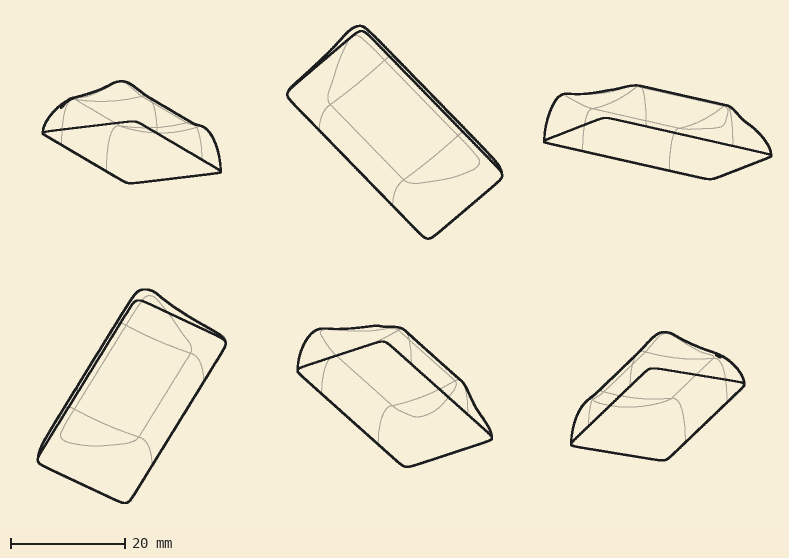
import cadquery as cq
import math

LENGTH = 37.38
WIDTH = 18.4
MIDDLE_LENGTH = 19.05

CAP_X = MIDDLE_LENGTH / 2
CAP_LENGTH = (LENGTH - MIDDLE_LENGTH) / 2
HALF_WIDTH = WIDTH / 2
CORNER_EXPONENT = 15

FRONT_RIM = (0, -6.55, 7.95)
BACK_RIM = (0, 6.26, 7.05)
RIM_POINTS = [
    FRONT_RIM,
    (1.35, -5.9, 7.8),
    (2.9, -3.6, 7.3),
    (4.4, -1.2, 7.15),
    (5.6, 1.0, 7.3),
    (6.5, 3.1, 7.7),
    (6.85, 4.5, 8.0),
    (6.55, 5.4, 8.06),
    (5.0, 5.95, 7.85),
    (2.6, 6.2, 7.35),
    BACK_RIM,
]
DISH_LOW_Z = 6.87
DISH_GUIDES = (0.2, 0.4, 0.6, 0.8)
DISH_SAG = 0.25

SIDE_RISE = 0.72
SIDE_LEAN = 0.1
SHOULDER_REACH = 1.65
SHOULDER_RISE = 0.5
STEEP_SPAN = HALF_WIDTH + FRONT_RIM[1]
SPREAD_POWER = 0.5

ANGLE_STEPS = 72
WALL_LEVELS = 10
BISECTIONS = 30
SEWING_TOLERANCE = 1e-3
OUTWARD = cq.Vector(1, 0, 0)
UP = cq.Vector(0, 0, 1)


def square_ended_spline(points):
    """Curve through the points that meets the middle stretch squarely at both ends."""
    return cq.Edge.makeSpline(points, tangents=[OUTWARD, -OUTWARD], scale=False)


def base_radius(angle):
    """Distance from the pivot axis to the base outline."""
    along = abs(math.cos(angle)) / CAP_LENGTH
    across = abs(math.sin(angle)) / HALF_WIDTH
    return (along**CORNER_EXPONENT + across**CORNER_EXPONENT) ** (-1 / CORNER_EXPONENT)


def rim_point(rim, angle):
    """Point of the rim curve that lies at an angle about the pivot axis, found by bisection."""
    low, high = 0.0, 1.0
    for _ in range(BISECTIONS):
        middle = (low + high) / 2
        point = rim.positionAt(middle)
        if math.atan2(point.y, point.x) < angle:
            low = middle
        else:
            high = middle
    return rim.positionAt((low + high) / 2)


def wall_point(rim, angle, level):
    """Point of the wall at an angle; level runs from 0 at the base to 1 at the rim."""
    out = cq.Vector(math.cos(angle), math.sin(angle), 0)
    top = rim_point(rim, angle)
    bottom = out * base_radius(angle)
    span = (bottom - cq.Vector(top.x, top.y, 0)).Length
    spread = max(1, span / STEEP_SPAN) ** SPREAD_POWER
    lower = bottom - out * SIDE_LEAN + UP * (SIDE_RISE * top.z / spread)
    upper = top + out * (SHOULDER_REACH * spread) + UP * SHOULDER_RISE
    rest = 1 - level
    return bottom * rest**3 + lower * (3 * rest**2 * level) + upper * (3 * rest * level**2) + top * level**3


def level_curve(rim, level):
    """Curve around the wall at one level."""
    angles = [math.pi * step / ANGLE_STEPS - math.pi / 2 for step in range(ANGLE_STEPS + 1)]
    points = [wall_point(rim, angle, level) for angle in angles]
    return square_ended_spline(points)


def edge_on_middle(face, front):
    """Edge of the wall face that lies in the plane shared with the middle stretch."""
    sign = -1 if front else 1
    return max(face.Edges(), key=lambda edge: sign * edge.Center().y)


def dish_face(rim_edge, dish_edge):
    """Dish of a cap, filled between its rim and the edge of the middle stretch."""
    halfway = []
    for share in DISH_GUIDES:
        near = dish_edge.positionAt(share)
        far = rim_edge.positionAt(share)
        halfway.append((near + far) * 0.5 - UP * (far.z - near.z) * DISH_SAG)
    return cq.Face.makeNSidedSurface([rim_edge, dish_edge], halfway, degree=2)


def end_cap():
    """End cap standing on X = 0 and pointing along +X, with its flat inner face."""
    rim = square_ended_spline([cq.Vector(*point) for point in RIM_POINTS])
    curves = [level_curve(rim, level / WALL_LEVELS) for level in range(WALL_LEVELS + 1)]
    wall = cq.occ_impl.shapes.loft(*curves).Faces()[0]
    front_edge = edge_on_middle(wall, True)
    back_edge = edge_on_middle(wall, False)
    rim_edge = max(wall.Edges(), key=lambda edge: edge.Center().z)
    base_edge = min(wall.Edges(), key=lambda edge: edge.Center().z)
    dish_edge = cq.Edge.makeThreePointArc(
        cq.Vector(*FRONT_RIM), cq.Vector(0, 0, DISH_LOW_Z), cq.Vector(*BACK_RIM)
    )
    bottom_edge = cq.Edge.makeLine(cq.Vector(0, -HALF_WIDTH, 0), cq.Vector(0, HALF_WIDTH, 0))
    dish = dish_face(rim_edge, dish_edge)
    bottom = cq.Face.makeFromWires(cq.Wire.assembleEdges([base_edge, bottom_edge]))
    inner = cq.Face.makeFromWires(cq.Wire.assembleEdges([front_edge, dish_edge, back_edge, bottom_edge]))
    shell = cq.occ_impl.shapes.shell(wall, dish, bottom, inner, tol=SEWING_TOLERANCE)
    return cq.occ_impl.shapes.solid(shell), inner


cap, inner_face = end_cap()
right_cap = cap.translate(OUTWARD * CAP_X)
left_cap = right_cap.mirror("YZ")
middle = cq.Solid.extrudeLinear(inner_face, OUTWARD * MIDDLE_LENGTH).translate(OUTWARD * -CAP_X)

result = cq.Workplane(middle).union(cq.Workplane(right_cap)).union(cq.Workplane(left_cap))